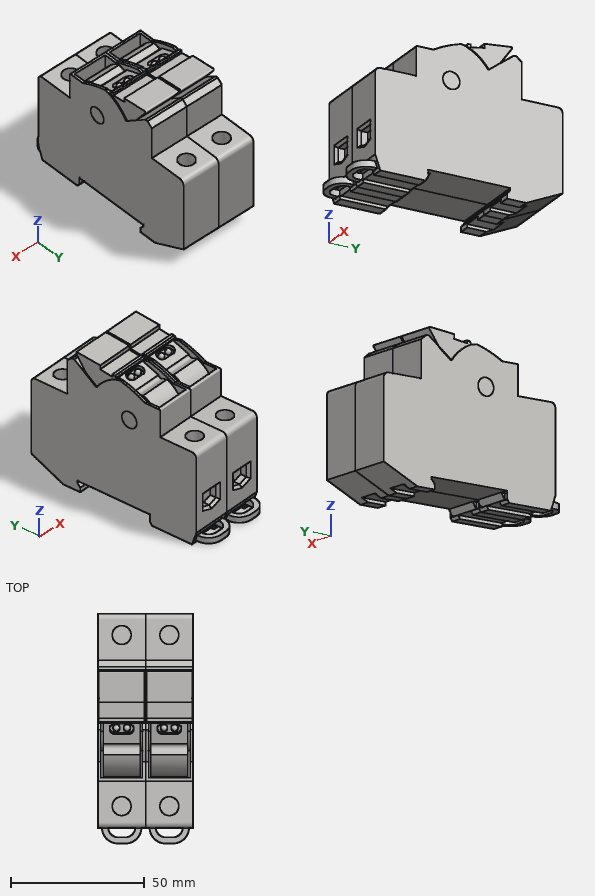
import cadquery as cq
import math


MODULE_COUNT = 2
MODULE_WIDTH = 17.8

DEPTH = 80.15
SHOULDER_Z = 41.9
SHOULDER_RADIUS = 2.15
TOWER_FRONT_Y = 17.5
TOWER_BACK_Y = 62.7
TOWER_FRONT_Z = 54.2
TOWER_EDGE_RADIUS = 0.5
BROW_START_Y = 24.8
BROW_MIDDLE = (29.1, 56.3)
BROW_END = (36.7, 59.0)
TOWER_BACK_CHAMFER_Z = 57.0
TOWER_PEAK_Z = 59.0
TOWER_PEAK_START_Y = 60.3
TOWER_PEAK_END_Y = 59.2
BOTTOM_FRONT_CHAMFER = (2.15, 6.1)
BOTTOM_BACK_CHAMFER = (15.65, 7.2)

VALLEY_BOTTOM = (48.5, 51.0)
VALLEY_MIDDLE = (45.1, 54.9)
VALLEY_FRONT_END = (39.2, 58.5)

RAIL_Z = 4.65
RAIL_FRONT_Y = 22.5
RAIL_FRONT_LIP = (21.6, 1.5)
RAIL_BACK_Y = 56.3
RAIL_HOOK_REACH = 1.5
RAIL_HOOK_Z = (2.1, 3.8)
FOOT_CHANNEL_WIDTH = 8.0

SCREW_HOLE_DIAMETER = 7.05
SCREW_HOLE_DEPTH = 10.3
SCREW_HOLE_Y = (8.2, 72.15)
WIRE_HOLE_WIDTH = 10.2
WIRE_HOLE_TOP_Z = 21.85
WIRE_HOLE_SIDE_Z = 14.1
WIRE_HOLE_APEX_Z = 12.5
WIRE_HOLE_BEVEL = 1.1
WIRE_HOLE_DEPTH = 3.9

PIVOT_Y = 32.5
PIVOT_Z = 43.2
TRUNNION_RADIUS = 3.6
DRUM_RADIUS = 13.3
DRUM_CLEARANCE = 0.35
DRUM_RIDGE_Y = 27.35
DRUM_BACK_ANGLE = 20
CARRIER_WIDTH = 13.9
POCKET_WIDTH = 15.5
GROOVE_BOTTOM = (29.6, 54.7)
GROOVE_MIDDLE = (31, 54.9)
RIDGE_CREST = (28.5, 55.1)
PANEL_LOW = (31.5, 55.6)
PANEL_HIGH = (39.4, 58.7)
NECK_TOP = (43.4, 58.5)
HANDLE_WIDTH = 17.0
HANDLE_CONTACT_Y = 53.75
HANDLE_TIP = (59.25, 62.6)
HANDLE_TIP_RADIUS = 0.5
HANDLE_STEP_Y = 46.95
HANDLE_STEP_Z = (61.4, 59.6)
HANDLE_LIP_BACK_Y = 41.0
HANDLE_LIP_Z = (58.7, 59.9)
HANDLE_LIP_TOP_FRONT = (39.8, 59.8)
HANDLE_LIP_FRONT_Z = 59.2

LAMP_RADIUS = 1.3
LAMP_SPACING = 3.95
LAMP_STEM = 0.5
RECESS_LENGTH = 9.0
RECESS_WIDTH = 4.1
RECESS_DEPTH = 1.5
RECESS_Y = 37

CLIP_THICKNESS = 2.7
CLIP_BOTTOM_Z = 1.4
CLIP_FLAT = 2.7
CLIP_OUTER_RADIUS = 6.1
CLIP_BAND = 2.4
CLIP_FRONT_Y = -5.85
CLIP_EYE_BACK_Y = 2.4
CLIP_TIP_Y = 24.25
CLIP_TIP_BEVEL = 1.6


def along_line(start, end, y):
    """Point at the given y on the straight line from start to end."""
    share = (y - start[0]) / (end[0] - start[0])
    return (y, start[1] + share * (end[1] - start[1]))


def extrude_across(profile, width):
    """Extrude a closed (y, z) profile symmetrically along X."""
    return profile.close().extrude(width / 2, both=True)


def box_between(width, y_range, z_range):
    """Box centred on X = 0 between two y and two z values."""
    size_y = y_range[1] - y_range[0]
    size_z = z_range[1] - z_range[0]
    box = cq.Workplane("XY").box(width, size_y, size_z, centered=(True, False, False))
    return box.translate((0, y_range[0], z_range[0]))


valley_back_end = (TOWER_PEAK_END_Y, TOWER_PEAK_Z)
clip_top_z = CLIP_BOTTOM_Z + CLIP_THICKNESS
clip_width = CLIP_FLAT + 2 * CLIP_OUTER_RADIUS

panel_centre = along_line(PANEL_LOW, PANEL_HIGH, RECESS_Y)
panel_run = PANEL_HIGH[0] - PANEL_LOW[0]
panel_rise = PANEL_HIGH[1] - PANEL_LOW[1]
panel_plane = cq.Plane(
    origin=(0, *panel_centre), xDir=(1, 0, 0), normal=(0, -panel_rise, panel_run)
)


def housing_block():
    bottom_run, bottom_rise = BOTTOM_FRONT_CHAMFER
    back_run, back_rise = BOTTOM_BACK_CHAMFER
    hook_low_z, hook_high_z = RAIL_HOOK_Z
    hook_y = RAIL_BACK_Y + RAIL_HOOK_REACH
    profile = (
        cq.Workplane("YZ")
        .moveTo(bottom_run, 0)
        .lineTo(0, bottom_rise)
        .lineTo(0, SHOULDER_Z)
        .lineTo(TOWER_FRONT_Y, SHOULDER_Z)
        .lineTo(TOWER_FRONT_Y, TOWER_FRONT_Z)
        .lineTo(BROW_START_Y, TOWER_FRONT_Z)
        .threePointArc(BROW_MIDDLE, BROW_END)
        .lineTo(*VALLEY_FRONT_END)
        .threePointArc(VALLEY_MIDDLE, VALLEY_BOTTOM)
        .lineTo(*valley_back_end)
        .lineTo(TOWER_PEAK_START_Y, TOWER_PEAK_Z)
        .lineTo(TOWER_BACK_Y, TOWER_BACK_CHAMFER_Z)
        .lineTo(TOWER_BACK_Y, SHOULDER_Z)
        .lineTo(DEPTH, SHOULDER_Z)
        .lineTo(DEPTH, back_rise)
        .lineTo(DEPTH - back_run, 0)
        .lineTo(RAIL_BACK_Y, 0)
        .lineTo(RAIL_BACK_Y, hook_low_z)
        .lineTo(hook_y, hook_high_z)
        .lineTo(hook_y, RAIL_Z)
        .lineTo(RAIL_FRONT_Y, RAIL_Z)
        .lineTo(RAIL_FRONT_Y, RAIL_FRONT_LIP[1])
        .lineTo(RAIL_FRONT_LIP[0], 0)
    )
    block = extrude_across(profile, MODULE_WIDTH)
    for edge_y in (0, DEPTH):
        shoulder = cq.selectors.NearestToPointSelector((0, edge_y, SHOULDER_Z))
        block = block.edges(shoulder).fillet(SHOULDER_RADIUS)
    tower_edge = cq.selectors.NearestToPointSelector((0, TOWER_FRONT_Y, TOWER_FRONT_Z))
    return block.edges(tower_edge).fillet(TOWER_EDGE_RADIUS)


def wire_hole():
    """Pentagonal wire entry with a bevelled mouth."""
    half = WIRE_HOLE_WIDTH / 2
    mouth = (
        cq.Workplane("XZ")
        .moveTo(-half, WIRE_HOLE_TOP_Z)
        .lineTo(half, WIRE_HOLE_TOP_Z)
        .lineTo(half, WIRE_HOLE_SIDE_Z)
        .lineTo(0, WIRE_HOLE_APEX_Z)
        .lineTo(-half, WIRE_HOLE_SIDE_Z)
        .close()
    )
    taper_angle = 45
    bevel = mouth.extrude(-WIRE_HOLE_BEVEL, taper=taper_angle)
    inner = bevel.faces(">Y").wires().toPending().workplane().extrude(WIRE_HOLE_DEPTH - WIRE_HOLE_BEVEL)
    return bevel.union(inner)


def screw_holes():
    holes = cq.Workplane("XY", origin=(0, 0, SHOULDER_Z)).pushPoints([(0, y) for y in SCREW_HOLE_Y])
    return holes.circle(SCREW_HOLE_DIAMETER / 2).extrude(-SCREW_HOLE_DEPTH)


def trunnions():
    """Pivot pin that reaches both outer faces of the module."""
    pin = cq.Workplane("YZ").center(PIVOT_Y, PIVOT_Z).circle(TRUNNION_RADIUS)
    return pin.extrude(MODULE_WIDTH / 2, both=True)


def carrier_pocket():
    reach = DRUM_RADIUS + DRUM_CLEARANCE
    y_range = (PIVOT_Y - reach, PIVOT_Y + reach)
    return box_between(POCKET_WIDTH, y_range, (PIVOT_Z - reach, TOWER_PEAK_Z))


def make_housing(clip):
    housing = housing_block()
    housing = housing.cut(carrier_pocket()).cut(trunnions())
    housing = housing.cut(screw_holes()).cut(wire_hole())
    foot_channel = box_between(FOOT_CHANNEL_WIDTH, (0, DEPTH), (0, CLIP_BOTTOM_Z))
    clip_slot = box_between(clip_width, (0, RAIL_FRONT_Y), (CLIP_BOTTOM_Z, clip_top_z))
    return housing.cut(foot_channel).cut(clip_slot)


def drum():
    """Round body of the carrier with a finger groove and the sloping panel on top."""
    ridge_z = PIVOT_Z + math.sqrt(DRUM_RADIUS**2 - (PIVOT_Y - DRUM_RIDGE_Y) ** 2)
    back_angle = math.radians(DRUM_BACK_ANGLE)
    back = (PIVOT_Y + DRUM_RADIUS * math.cos(back_angle), PIVOT_Z + DRUM_RADIUS * math.sin(back_angle))
    profile = (
        cq.Workplane("YZ")
        .moveTo(DRUM_RIDGE_Y, ridge_z)
        .lineTo(*RIDGE_CREST)
        .lineTo(*GROOVE_BOTTOM)
        .threePointArc(GROOVE_MIDDLE, PANEL_LOW)
        .lineTo(*PANEL_HIGH)
        .lineTo(*NECK_TOP)
        .lineTo(*back)
        .threePointArc((PIVOT_Y, PIVOT_Z - DRUM_RADIUS), (DRUM_RIDGE_Y, ridge_z))
    )
    return extrude_across(profile, CARRIER_WIDTH)


def handle():
    """Lever resting in the valley of the housing."""
    contact = along_line(VALLEY_BOTTOM, valley_back_end, HANDLE_CONTACT_Y)
    step_top_z, step_bottom_z = HANDLE_STEP_Z
    lip_bottom_z, lip_top_z = HANDLE_LIP_Z
    profile = (
        cq.Workplane("YZ")
        .moveTo(*VALLEY_BOTTOM)
        .lineTo(*contact)
        .lineTo(*HANDLE_TIP)
        .lineTo(HANDLE_STEP_Y, step_top_z)
        .lineTo(HANDLE_STEP_Y, step_bottom_z)
        .lineTo(HANDLE_LIP_BACK_Y, lip_bottom_z)
        .lineTo(HANDLE_LIP_BACK_Y, lip_top_z)
        .lineTo(*HANDLE_LIP_TOP_FRONT)
        .lineTo(VALLEY_FRONT_END[0], HANDLE_LIP_FRONT_Z)
        .lineTo(*VALLEY_FRONT_END)
        .threePointArc(VALLEY_MIDDLE, VALLEY_BOTTOM)
    )
    lever = extrude_across(profile, HANDLE_WIDTH)
    tip_edge = cq.selectors.NearestToPointSelector((0, *HANDLE_TIP))
    return lever.edges(tip_edge).fillet(HANDLE_TIP_RADIUS)


def make_carrier():
    recess = cq.Workplane(panel_plane).slot2D(RECESS_LENGTH, RECESS_WIDTH).extrude(-RECESS_DEPTH)
    return drum().cut(recess).union(trunnions()).union(handle())


def make_lamp(side):
    """Domed lamp standing on the recess floor; side is -1 or 1."""
    floor = cq.Workplane(panel_plane).workplane(offset=-RECESS_DEPTH).center(side * LAMP_SPACING / 2, 0)
    stem = floor.circle(LAMP_RADIUS).extrude(LAMP_STEM + LAMP_RADIUS)
    dome = floor.workplane(offset=LAMP_STEM).sphere(LAMP_RADIUS)
    below_dome = floor.circle(LAMP_RADIUS).extrude(LAMP_STEM)
    return stem.intersect(dome).union(below_dome)


def make_clip():
    """Flat rail latch with a pull loop in front and a bevelled tip behind."""
    centre_y = CLIP_FRONT_Y + CLIP_OUTER_RADIUS

    def loop_outline(inset, back_y):
        radius = CLIP_OUTER_RADIUS - inset
        half_flat = CLIP_FLAT / 2
        diagonal = radius * math.sqrt(0.5)
        return (
            cq.Workplane("XY", origin=(0, 0, CLIP_BOTTOM_Z))
            .moveTo(-half_flat - radius, back_y)
            .lineTo(-half_flat - radius, centre_y)
            .threePointArc((-half_flat - diagonal, centre_y - diagonal), (-half_flat, centre_y - radius))
            .lineTo(half_flat, centre_y - radius)
            .threePointArc((half_flat + diagonal, centre_y - diagonal), (half_flat + radius, centre_y))
            .lineTo(half_flat + radius, back_y)
            .close()
            .extrude(CLIP_THICKNESS)
        )

    plate = loop_outline(0, CLIP_TIP_Y)
    eye = loop_outline(CLIP_BAND, CLIP_EYE_BACK_Y)
    tip_bevel = (
        cq.Workplane("YZ")
        .moveTo(CLIP_TIP_Y - CLIP_TIP_BEVEL, CLIP_BOTTOM_Z)
        .lineTo(CLIP_TIP_Y, CLIP_BOTTOM_Z)
        .lineTo(CLIP_TIP_Y, clip_top_z)
    )
    return plate.cut(eye).cut(extrude_across(tip_bevel, clip_width))


housings, carriers, clips, lamps = [], [], [], []
for index in range(MODULE_COUNT):
    shift = ((index - (MODULE_COUNT - 1) / 2) * MODULE_WIDTH, 0, 0)
    clip = make_clip()
    clips.append(clip.translate(shift).val())
    housings.append(make_housing(clip).translate(shift).val())
    carriers.append(make_carrier().translate(shift).val())
    for side in (-1, 1):
        lamps.append(make_lamp(side).translate(shift).val())

result = cq.Compound.makeCompound([*housings, *carriers, *clips, *lamps])